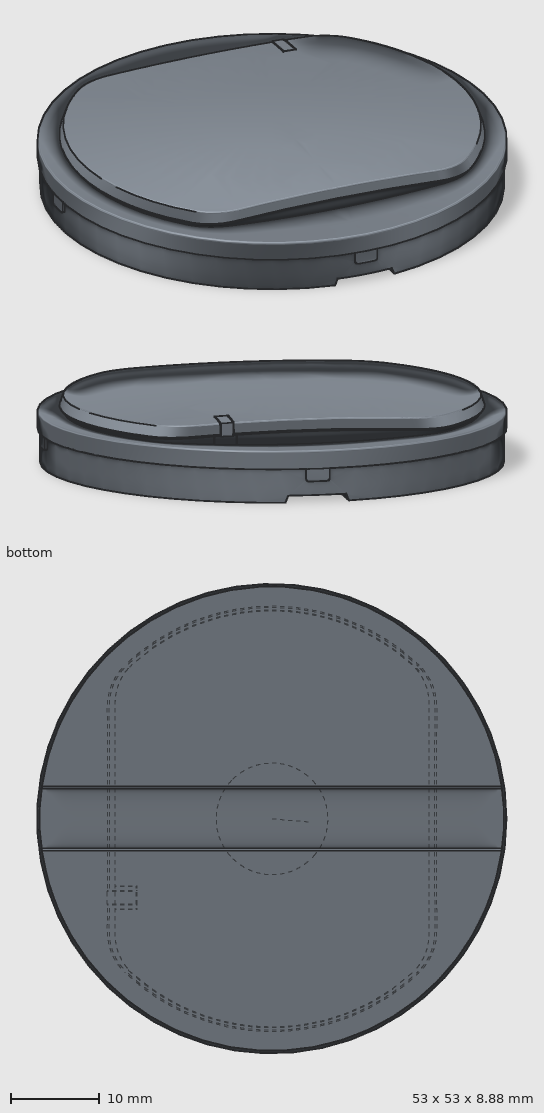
import cadquery as cq
import math

RIM_RADIUS = 26.5
RIM_OVERHANG = 0.3
BODY_RADIUS = RIM_RADIUS - RIM_OVERHANG
RIM_TOP = 6.0
RIM_BOTTOM = 3.87
RIM_EDGE_FILLET = 0.25
DISH_EDGE_RADIUS = RIM_RADIUS - RIM_EDGE_FILLET
BOWL_RADIUS = 22.5
BOWL_EDGE_Z = 5.7
BOWL_FLOOR_Z = 4.3

TAB_COUNT = 4
TAB_WIDTH = 2.7
TAB_HEIGHT = 1.45
TAB_RADIUS = RIM_RADIUS - 0.05
TAB_DEPTH = 2.0
TAB_CORNER_RADIUS = 0.3

CHANNEL_HEIGHT = 0.8
CHANNEL_BOTTOM_WIDTH = 7.3
CHANNEL_TOP_WIDTH = 6.7

DOME_TOP = 8.88
DOME_RADIUS = 250.0
DOME_CENTER_Z = DOME_TOP - DOME_RADIUS
PLATE_THICKNESS = 1.5
UPPER_OUTLINE_Z = 9.0
UPPER_HALF_WIDTH = 18.37
UPPER_END_RADIUS = 23.1
UPPER_CORNER_RADIUS = 6.3
LOWER_OUTLINE_Z = 5.5
LOWER_HALF_WIDTH = 18.7
LOWER_END_RADIUS = 24.35
LOWER_CORNER_RADIUS = 6.6
PLATE_EDGE_FILLET = 0.2
PLATE_EDGE_CHAMFER = 0.25

NECK_END_RADIUS = 23.5
NECK_HALF_WIDTH = 17.7
NECK_CORNER_RADIUS = 5.8
NECK_TOP = 7.3

GUIDE_Y = 8.9
GUIDE_WIDTH = 1.4
GUIDE_INNER_X = -15.35
GUIDE_OUTER_X = -18.6
FOOT_TOP = 6.5
FOOT_WIDTH = 2.5
FOOT_OUTER_X = -NECK_HALF_WIDTH
GUIDE_GAP = 0.1


def revolve_about_z(profile):
    return profile.revolve(360, (0, 0, 0), (0, 1, 0))


def make_dish():
    """Hollow in the top of the housing: a conical ring around a bowl."""
    bowl_depth = BOWL_EDGE_Z - BOWL_FLOOR_Z
    profile = (
        cq.Workplane("XZ")
        .moveTo(0, BOWL_FLOOR_Z)
        .threePointArc((BOWL_RADIUS / 2, BOWL_FLOOR_Z + bowl_depth / 4), (BOWL_RADIUS, BOWL_EDGE_Z))
        .lineTo(DISH_EDGE_RADIUS, RIM_TOP)
        .lineTo(0, RIM_TOP)
        .close()
    )
    return revolve_about_z(profile)


def make_tabs():
    """Tabs with rounded lower corners, trimmed to a round outer face."""
    limit = cq.Workplane().circle(TAB_RADIUS).extrude(RIM_BOTTOM)
    tab = (
        cq.Workplane()
        .box(TAB_DEPTH, TAB_WIDTH, TAB_HEIGHT, centered=(False, True, False))
        .edges("|X and <Z")
        .fillet(TAB_CORNER_RADIUS)
        .translate((RIM_RADIUS - TAB_DEPTH / 2, 0, RIM_BOTTOM - TAB_HEIGHT))
        .intersect(limit)
    )
    return [tab.rotate((0, 0, 0), (0, 0, 1), index * 360 / TAB_COUNT) for index in range(TAB_COUNT)]


def make_channel():
    return (
        cq.Workplane("YZ")
        .polyline([
            (-CHANNEL_BOTTOM_WIDTH / 2, 0),
            (CHANNEL_BOTTOM_WIDTH / 2, 0),
            (CHANNEL_TOP_WIDTH / 2, CHANNEL_HEIGHT),
            (-CHANNEL_TOP_WIDTH / 2, CHANNEL_HEIGHT),
        ])
        .close()
        .extrude(RIM_RADIUS, both=True)
    )


def make_housing():
    rim = cq.Workplane().workplane(offset=RIM_BOTTOM).circle(RIM_RADIUS).extrude(RIM_TOP - RIM_BOTTOM)
    rim = rim.faces(">Z").edges().fillet(RIM_EDGE_FILLET)
    housing = cq.Workplane().circle(BODY_RADIUS).extrude(RIM_BOTTOM).union(rim)
    for tab in make_tabs():
        housing = housing.union(tab)
    return housing.cut(make_channel()).cut(make_dish())


def sphere_height(radius, distance):
    """Height of a sphere about the dome centre, at a distance from the Z axis."""
    return DOME_CENTER_Z + math.sqrt(radius**2 - distance**2)


def make_shell(thickness):
    """Round layer below the dome surface, between two spheres and wider than the rocker."""
    lower_radius = DOME_RADIUS - thickness
    half = RIM_RADIUS / 2
    profile = (
        cq.Workplane("XZ")
        .moveTo(0, DOME_TOP)
        .threePointArc(
            (half, sphere_height(DOME_RADIUS, half)),
            (RIM_RADIUS, sphere_height(DOME_RADIUS, RIM_RADIUS)),
        )
        .lineTo(RIM_RADIUS, sphere_height(lower_radius, RIM_RADIUS))
        .threePointArc((half, sphere_height(lower_radius, half)), (0, DOME_TOP - thickness))
        .close()
    )
    return revolve_about_z(profile)


def draw_outline(plane, half_width, end_radius, corner_radius):
    """Closed outline: two flat sides, two ends centred on the axis, four tangent corner arcs."""
    center_x = half_width - corner_radius
    center_y = math.sqrt((end_radius - corner_radius) ** 2 - center_x**2)
    reach = end_radius / (end_radius - corner_radius)
    end_x = center_x * reach
    end_y = center_y * reach
    middle_angle = math.atan2(center_y, center_x) / 2
    middle_x = center_x + corner_radius * math.cos(middle_angle)
    middle_y = center_y + corner_radius * math.sin(middle_angle)
    return (
        plane.moveTo(half_width, -center_y)
        .lineTo(half_width, center_y)
        .threePointArc((middle_x, middle_y), (end_x, end_y))
        .threePointArc((0, end_radius), (-end_x, end_y))
        .threePointArc((-middle_x, middle_y), (-half_width, center_y))
        .lineTo(-half_width, -center_y)
        .threePointArc((-middle_x, -middle_y), (-end_x, -end_y))
        .threePointArc((0, -end_radius), (end_x, -end_y))
        .threePointArc((middle_x, -middle_y), (half_width, -center_y))
        .close()
    )


def sphere_face_edges(plate, position):
    """Edges of one spherical face of the plate: position 0 is the lower face, -1 the upper."""
    faces = sorted(plate.faces("%SPHERE").vals(), key=lambda face: face.Center().z)
    return plate.newObject(faces[position].Edges())


def make_plate():
    """Domed plate with drafted sides, a rounded top edge and a chamfered lower edge."""
    lower_plane = cq.Workplane().workplane(offset=LOWER_OUTLINE_Z)
    lower = draw_outline(lower_plane, LOWER_HALF_WIDTH, LOWER_END_RADIUS, LOWER_CORNER_RADIUS)
    upper_plane = lower.workplane(offset=UPPER_OUTLINE_Z - LOWER_OUTLINE_Z)
    upper = draw_outline(upper_plane, UPPER_HALF_WIDTH, UPPER_END_RADIUS, UPPER_CORNER_RADIUS)
    plate = upper.loft(ruled=True).intersect(make_shell(PLATE_THICKNESS))
    plate = sphere_face_edges(plate, -1).fillet(PLATE_EDGE_FILLET)
    return sphere_face_edges(plate, 0).chamfer(PLATE_EDGE_CHAMFER)


def make_neck():
    base = cq.Workplane().workplane(offset=BOWL_FLOOR_Z)
    outline = draw_outline(base, NECK_HALF_WIDTH, NECK_END_RADIUS, NECK_CORNER_RADIUS)
    return outline.extrude(NECK_TOP - BOWL_FLOOR_Z)


def make_guide_block(outer_x, width, bottom, top, gap):
    """Upright block of the light guide, enlarged sideways by a gap."""
    length = GUIDE_INNER_X - outer_x + 2 * gap
    block = cq.Workplane().box(length, width + 2 * gap, top - bottom, centered=(False, True, False))
    return block.translate((outer_x - gap, GUIDE_Y, bottom))


def make_guide_blank(gap):
    """Strip and wider foot of the light guide, before shaping to the dome and the dish."""
    strip = make_guide_block(GUIDE_OUTER_X, GUIDE_WIDTH, FOOT_TOP, DOME_TOP, gap)
    foot = make_guide_block(FOOT_OUTER_X, FOOT_WIDTH, BOWL_FLOOR_Z, FOOT_TOP, gap)
    return strip.union(foot)


def make_rocker(housing):
    """Plate and neck with a slot for the light guide, resting on the dish of the housing."""
    return make_plate().union(make_neck()).cut(make_guide_blank(GUIDE_GAP)).cut(housing)


def make_light_guide(housing):
    """Light guide, flush with the dome and standing on the dish of the housing."""
    dome = make_shell(DOME_TOP - BOWL_FLOOR_Z)
    return make_guide_blank(0).intersect(dome).cut(housing)


housing = make_housing()
rocker = make_rocker(housing)
light_guide = make_light_guide(housing)

result = cq.Compound.makeCompound([housing.val(), rocker.val(), light_guide.val()])